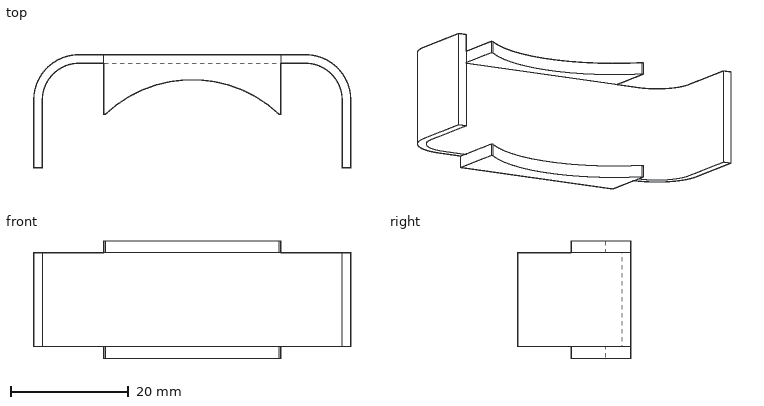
import cadquery as cq

band_width = 54.0
band_depth = 19.3
band_height = 16.0
band_thickness = 1.5
corner_radius = 7.75

plate_width = 30.2
plate_depth = 10.2
plate_thickness = 2.0
web_depth = 4.3
tip_width = 0.3

back_y = band_depth / 2
front_y = -band_depth / 2


def rounded_block(width, radius, back):
    """Block from the open front to the given back face, with rounded back corners."""
    return (
        cq.Workplane("XY")
        .box(width, back - front_y, band_height)
        .translate((0, (back + front_y) / 2, 0))
        .edges("|Z and >Y")
        .fillet(radius)
    )


def make_band():
    outside = rounded_block(band_width, corner_radius, back_y)
    inside = rounded_block(
        band_width - 2 * band_thickness,
        corner_radius - band_thickness,
        back_y - band_thickness,
    )
    return outside.cut(inside)


def make_saddle_plate(bottom_z):
    half_width = plate_width / 2
    arc_end_x = half_width - tip_width
    tip_y = back_y - plate_depth
    return (
        cq.Workplane("XY", origin=(0, 0, bottom_z))
        .moveTo(-half_width, back_y)
        .lineTo(-half_width, tip_y)
        .lineTo(-arc_end_x, tip_y)
        .threePointArc((0, back_y - web_depth), (arc_end_x, tip_y))
        .lineTo(half_width, tip_y)
        .lineTo(half_width, back_y)
        .close()
        .extrude(plate_thickness)
    )


upper_plate = make_saddle_plate(band_height / 2)
lower_plate = make_saddle_plate(-band_height / 2 - plate_thickness)
result = make_band().union(upper_plate).union(lower_plate)